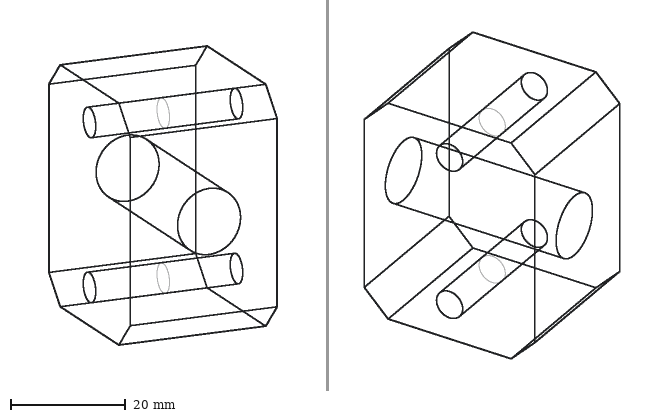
import cadquery as cq

width = 35.0
depth = 28.0
height = 44.0
corner_chamfer = 4.9

mount_hole_diameter = 5.35
mount_hole_spacing = 30.0

bore_diameter = 12.0
bore_offset_y = 1.0


def chamfered_block():
    """Block centred on the origin with its four Y-direction edges chamfered."""
    return cq.Workplane("XY").box(width, depth, height).edges("|Y").chamfer(corner_chamfer)


def mounting_holes():
    """Pair of through-hole cutters, one above the other."""
    return (
        cq.Workplane("XZ")
        .rarray(0.45, mount_hole_spacing, 1, 2)
        .circle(mount_hole_diameter / 2)
        .extrude(depth, both=True)
    )


def cross_bore():
    """Through-bore cutter running from side to side at mid height."""
    return (
        cq.Workplane("YZ")
        .center(bore_offset_y, 0)
        .circle(bore_diameter / 2)
        .extrude(width, both=True)
    )


result = chamfered_block().cut(mounting_holes()).cut(cross_bore())